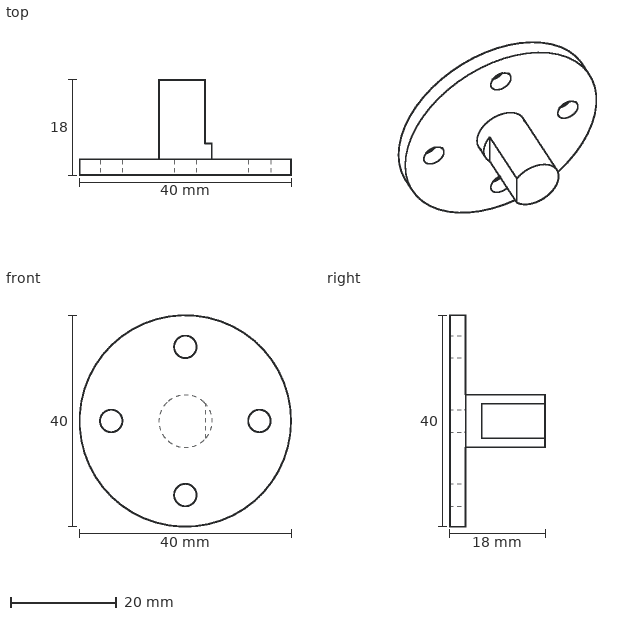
import cadquery as cq

flange_diameter = 40.0
flange_thickness = 3.0

hole_count = 4
hole_diameter = 4.2
hole_circle_radius = 14.0

shaft_diameter = 10.0
shaft_length = 15.0
round_base_length = 3.0
flat_offset = 3.75


def cylinder_along_y(diameter, start, length):
    """Solid cylinder centred on the Y axis, running toward +Y from start."""
    plane = cq.Workplane("XZ", origin=(0, start, 0))
    return plane.circle(diameter / 2).extrude(-length)


def make_flange():
    disc = cylinder_along_y(flange_diameter, 0, flange_thickness)
    holes = (
        cq.Workplane("XZ")
        .polarArray(hole_circle_radius, 0, 360, hole_count)
        .circle(hole_diameter / 2)
        .extrude(-flange_thickness)
    )
    return disc.cut(holes)


def make_shaft():
    shaft = cylinder_along_y(shaft_diameter, flange_thickness, shaft_length)
    flat_start = flange_thickness + round_base_length
    flat_length = shaft_length - round_base_length
    flat_cutter = (
        cq.Workplane("XY")
        .box(shaft_diameter, flat_length, shaft_diameter, centered=(False, False, True))
        .translate((flat_offset, flat_start, 0))
    )
    return shaft.cut(flat_cutter)


result = make_flange().union(make_shaft())